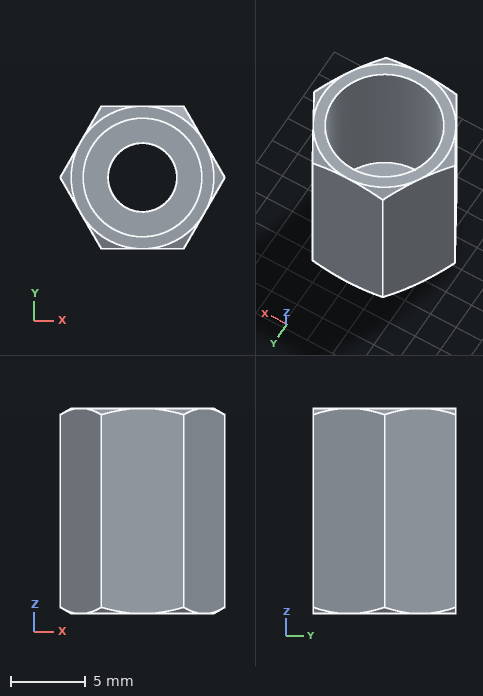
import cadquery as cq
import math

length = 13.72
across_flats = 9.54
chamfer_angle = 30.0
bore_diameter = 7.93
bore_depth = 11.66
hole_diameter = 4.58

across_corners = across_flats / math.cos(math.radians(30))
flat_radius = across_flats / 2
corner_radius = across_corners / 2
chamfer_drop = (corner_radius - flat_radius) * math.tan(math.radians(chamfer_angle))


def hex_body():
    """Hexagonal bar along Z, with corners on the X axis."""
    return cq.Workplane("XY").polygon(6, across_corners).extrude(length)


def chamfer_envelope():
    """Turned shape whose conical ends trim the hexagon's corners."""
    profile = [
        (0, 0),
        (flat_radius, 0),
        (corner_radius, chamfer_drop),
        (corner_radius, length - chamfer_drop),
        (flat_radius, length),
        (0, length),
    ]
    return cq.Workplane("XZ").polyline(profile).close().revolve(360, (0, 0, 0), (0, 1, 0))


sleeve = hex_body().intersect(chamfer_envelope())

result = sleeve.faces(">Z").workplane().cboreHole(hole_diameter, bore_diameter, bore_depth)